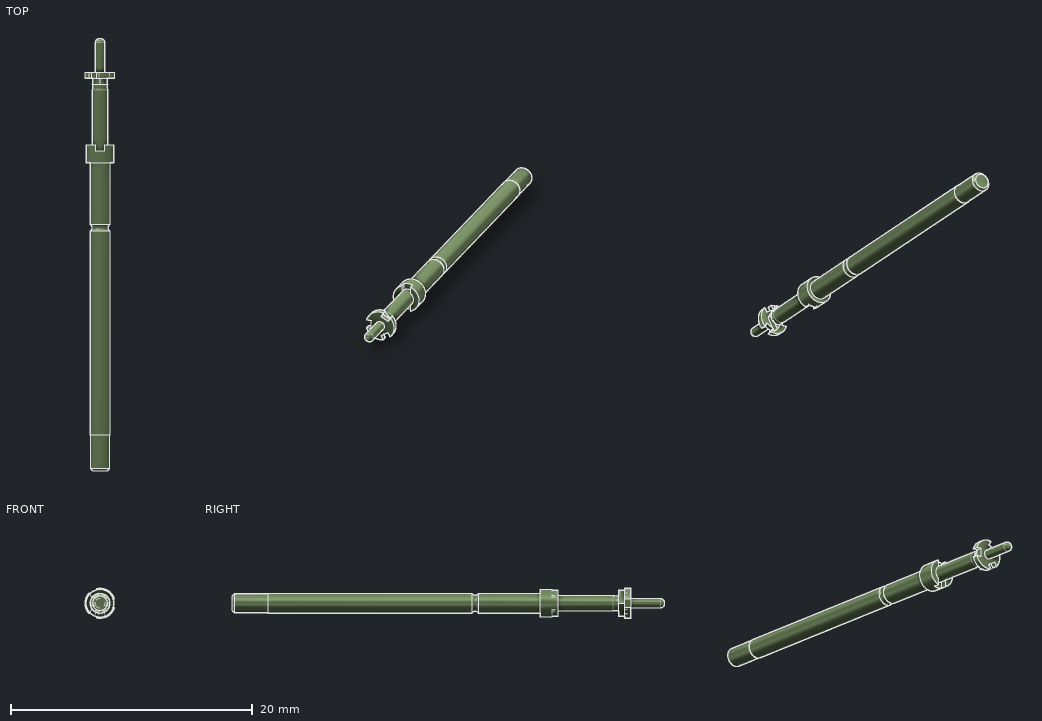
import cadquery as cq


tip_radius = 0.4
flange_radius = 1.25
plunger_radius = 0.65
collar_radius = 1.15
barrel_radius = 0.825
tail_radius = 0.8

tip_length = 2.8
tip_round = 0.35
flange_thickness = 0.5
key_length = 0.5
neck_length = 0.45
neck_groove_depth = 0.04
plunger_length = 4.55
collar_length = 1.5
barrel_front_length = 5.1
groove_length = 0.55
groove_depth = 0.15
overall_length = 35.8
tail_length = 3.0
tail_chamfer = 0.2

flange_notch_count = 3
flange_notch_width = 0.7
flange_notch_floor = 0.8
key_half_width = 0.61
key_half_height = 1.08
collar_slot_width = 0.75
collar_slot_depth = 0.5

collar_front = collar_length
plunger_front = collar_front + plunger_length
neck_front = plunger_front + neck_length
flange_rear = neck_front + key_length
flange_front = flange_rear + flange_thickness
tip_end = flange_front + tip_length
tail_end = tip_end - overall_length
tail_front = tail_end + tail_length
groove_front = -barrel_front_length
groove_rear = groove_front - groove_length


def cylinder(radius, start, end):
    """Solid cylinder on the Y axis between two positions."""
    plane = cq.Plane(origin=(0, start, 0), xDir=(1, 0, 0), normal=(0, 1, 0))
    return cq.Workplane(plane).circle(radius).extrude(end - start)


def make_tip():
    """Thin tip rod with a rounded end."""
    return cylinder(tip_radius, neck_front, tip_end).faces(">Y").edges().fillet(tip_round)


def make_flange():
    """Round flange with three flat-bottomed notches, the first one facing +X."""
    flange = cylinder(flange_radius, flange_rear, flange_front)
    flange_middle = (flange_rear + flange_front) / 2
    notch_reach = flange_radius
    for index in range(flange_notch_count):
        notch = (
            cq.Workplane("XY")
            .box(notch_reach, flange_thickness, flange_notch_width)
            .translate((flange_notch_floor + notch_reach / 2, flange_middle, 0))
            .rotate((0, 0, 0), (0, 1, 0), index * 360 / flange_notch_count)
        )
        flange = flange.cut(notch)
    return flange


def make_key():
    """Rhombic prism behind the flange, taller in Z than it is wide in X."""
    corners = [
        (key_half_width, 0),
        (0, key_half_height),
        (-key_half_width, 0),
        (0, -key_half_height),
    ]
    plane = cq.Plane(origin=(0, neck_front, 0), xDir=(1, 0, 0), normal=(0, 1, 0))
    return cq.Workplane(plane).polyline(corners).close().extrude(key_length)


def make_collar():
    """Collar with one slot across its front face, running along Z."""
    slot = (
        cq.Workplane("XY")
        .box(collar_slot_width, collar_slot_depth, 2 * collar_radius)
        .translate((0, collar_front - collar_slot_depth / 2, 0))
    )
    return cylinder(collar_radius, 0, collar_front).cut(slot)


def make_plunger():
    """Plunger from the collar to the key, waisted by a shallow round groove at its front end."""
    neck_middle = (plunger_front + neck_front) / 2
    return (
        cq.Workplane("XY")
        .moveTo(0, 0)
        .lineTo(plunger_radius, 0)
        .lineTo(plunger_radius, plunger_front)
        .threePointArc((plunger_radius - neck_groove_depth, neck_middle), (plunger_radius, neck_front))
        .lineTo(0, neck_front)
        .close()
        .revolve(360, (0, 0, 0), (0, 1, 0))
    )


def make_barrel():
    """Barrel with a round groove, stepping down to a thinner chamfered tail."""
    groove_middle = (groove_front + groove_rear) / 2
    return (
        cq.Workplane("XY")
        .moveTo(0, 0)
        .lineTo(barrel_radius, 0)
        .lineTo(barrel_radius, groove_front)
        .threePointArc((barrel_radius - groove_depth, groove_middle), (barrel_radius, groove_rear))
        .lineTo(barrel_radius, tail_front)
        .lineTo(tail_radius, tail_front)
        .lineTo(tail_radius, tail_end + tail_chamfer)
        .lineTo(tail_radius - tail_chamfer, tail_end)
        .lineTo(0, tail_end)
        .close()
        .revolve(360, (0, 0, 0), (0, 1, 0))
    )


result = make_barrel()
for section in (make_collar(), make_plunger(), make_key(), make_flange(), make_tip()):
    result = result.union(section)